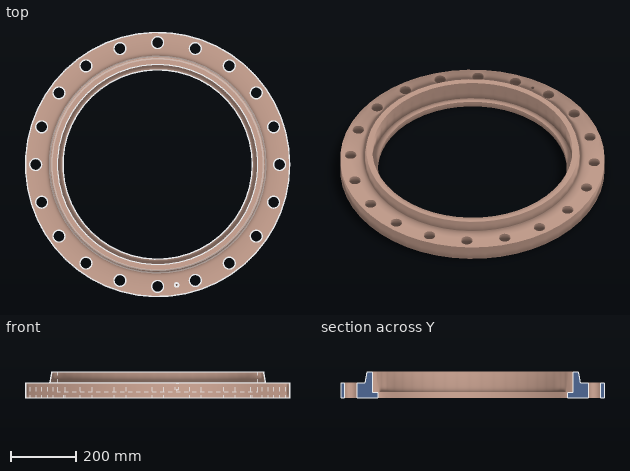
import cadquery as cq
import math

flange_diameter = 812.5
flange_thickness = 47.0
bore_diameter = 581.0

total_height = 81.0
hub_base_diameter = 664.0
hub_top_diameter = 652.0
hub_edge_radius = 2.0

counterbore_diameter = 615.0
counterbore_depth = 62.5

bolt_count = 20
bolt_circle_diameter = 749.0
bolt_hole_diameter = 36.0

blind_hole_diameter = 10.0
blind_hole_depth = 20.0
blind_hole_mouth_diameter = 14.0
drill_point_angle = 118
blind_hole_angle = -90 + 360 / bolt_count / 2


def make_ring():
    """Revolve the flange, hub, bore and counterbore section about Z."""
    ledge_height = total_height - counterbore_depth
    section = (
        cq.Workplane("XZ")
        .moveTo(bore_diameter / 2, 0)
        .lineTo(flange_diameter / 2, 0)
        .lineTo(flange_diameter / 2, flange_thickness)
        .lineTo(hub_base_diameter / 2, flange_thickness)
        .lineTo(hub_top_diameter / 2, total_height)
        .lineTo(counterbore_diameter / 2, total_height)
        .lineTo(counterbore_diameter / 2, ledge_height)
        .lineTo(bore_diameter / 2, ledge_height)
        .close()
    )
    return section.revolve(360, (0, 0, 0), (0, 1, 0))


def round_hub_edges(ring):
    """Round the hub's outer rim and its foot on the flange."""
    hub_top = ring.edges("%CIRCLE").edges(cq.selectors.RadiusNthSelector(2))
    hub_base = ring.edges("%CIRCLE").edges(cq.selectors.RadiusNthSelector(3))
    return hub_top.add(hub_base).fillet(hub_edge_radius)


def make_bolt_holes():
    """Through holes spaced evenly around the bolt circle."""
    return (
        cq.Workplane("XY")
        .polarArray(bolt_circle_diameter / 2, 0, 360, bolt_count)
        .circle(bolt_hole_diameter / 2)
        .extrude(flange_thickness)
    )


def make_blind_hole():
    """Countersunk, drill-pointed hole on the bolt circle, sunk from the flange's upper face."""
    radius = blind_hole_diameter / 2
    mouth_radius = blind_hole_mouth_diameter / 2
    countersink_depth = mouth_radius - radius
    point_depth = radius / math.tan(math.radians(drill_point_angle / 2))
    section = (
        cq.Workplane("XZ")
        .lineTo(mouth_radius, 0)
        .lineTo(radius, -countersink_depth)
        .lineTo(radius, -blind_hole_depth)
        .lineTo(0, -blind_hole_depth - point_depth)
        .close()
    )
    return (
        section.revolve(360, (0, 0, 0), (0, 1, 0))
        .translate((bolt_circle_diameter / 2, 0, flange_thickness))
        .rotate((0, 0, 0), (0, 0, 1), blind_hole_angle)
    )


ring = round_hub_edges(make_ring())
result = ring.cut(make_bolt_holes()).cut(make_blind_hole())